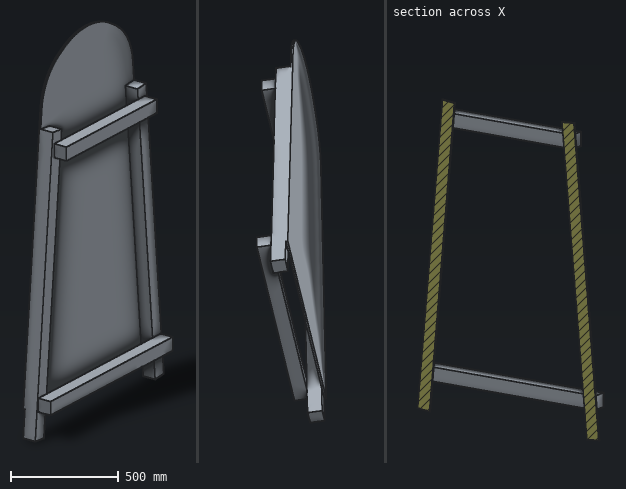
import cadquery as cq
import math

height = 1920.0
depth = 150.0
foot_span = 1025.0

board_thickness = 10.0
timber = (depth - board_thickness) / 2

lean = math.radians(5.3)
foot_half_width = foot_span / 2

leg_across_y = timber * math.cos(lean)
leg_across_z = timber * math.sin(lean)
foot_corner_z = leg_across_z
leg_top_z = 1523.0

board_bottom_z = 148.0
shoulder_z = 1626.0
shoulder_mid = (300.0, 1782.0)
crown_end = (207.0, 1859.0)

lower_rail = (488.0, board_bottom_z)
upper_rail = (361.0, 1392.0)


def half_width(z):
    """Distance from the centre line to the sloping side at height z."""
    return foot_half_width - math.tan(lean) * (z - foot_corner_z)


def mirrored(point):
    """The same point on the other side of the centre line."""
    return (-point[0], point[1])


def make_board():
    """Tapered sheet with an arched top made of a crown and two shoulder arcs."""
    bottom_corner = (half_width(board_bottom_z), board_bottom_z)
    shoulder = (half_width(shoulder_z), shoulder_z)
    return (
        cq.Workplane("YZ")
        .moveTo(*mirrored(bottom_corner))
        .lineTo(*bottom_corner)
        .lineTo(*shoulder)
        .threePointArc(shoulder_mid, crown_end)
        .threePointArc((0, height), mirrored(crown_end))
        .threePointArc(mirrored(shoulder_mid), mirrored(shoulder))
        .close()
        .extrude(board_thickness)
    )


def make_leg(side):
    """Leaning leg with square-cut ends; side is +1 or -1 along Y."""
    top_half_width = half_width(leg_top_z)
    outer_foot = (side * foot_half_width, foot_corner_z)
    outer_top = (side * top_half_width, leg_top_z)
    inner_top = (side * (top_half_width - leg_across_y), leg_top_z - leg_across_z)
    inner_foot = (side * (foot_half_width - leg_across_y), foot_corner_z - leg_across_z)
    return (
        cq.Workplane("YZ", origin=(board_thickness, 0, 0))
        .polyline([outer_foot, outer_top, inner_top, inner_foot])
        .close()
        .extrude(timber)
    )


def make_panel():
    """Board and its two legs, formed as one piece."""
    panel = make_board()
    for side in (1, -1):
        panel = panel.union(make_leg(side))
    return panel


def make_rail(half_length, bottom_z):
    """Square cross rail lying against the back of the legs."""
    return (
        cq.Workplane("XY", origin=(board_thickness + timber, 0, bottom_z))
        .box(timber, 2 * half_length, timber, centered=(False, True, False))
    )


panel = make_panel()
rails = [make_rail(half_length, bottom_z) for half_length, bottom_z in (lower_rail, upper_rail)]

result = cq.Compound.makeCompound([panel.val(), *[rail.val() for rail in rails]])